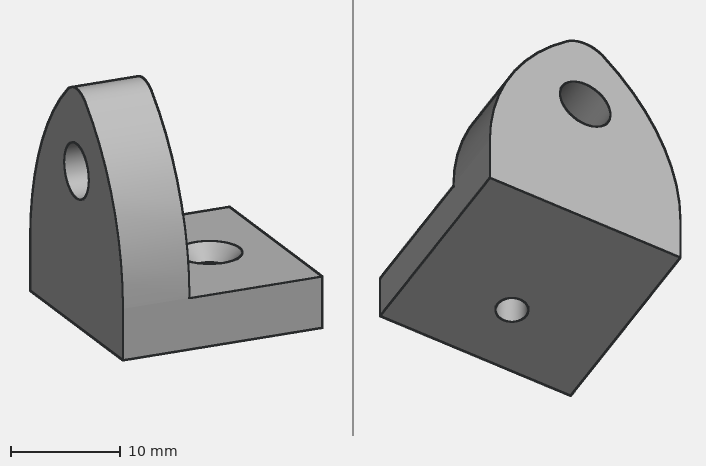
import cadquery as cq
import math

width = 20.0
depth = 20.0
height = 23.0
base_thickness = 5.0

lug_thickness = 6.67
tip_radius = 3.0
pivot_diameter = 5.3
pivot_height = 15.0

screw_diameter = 3.0
countersink_diameter = 5.98
countersink_angle = 90.0

half_width = width / 2
screw_y = (lug_thickness + depth) / 2

tip_rise = height - tip_radius - base_thickness
side_radius = (half_width**2 + tip_rise**2 - tip_radius**2) / (2 * (half_width - tip_radius))
arc_center_x = half_width - side_radius
sweep = math.atan2(tip_rise, -arc_center_x)


def side_point(angle):
    """Point on the right-hand side arc at an angle above horizontal."""
    x = arc_center_x + side_radius * math.cos(angle)
    z = base_thickness + side_radius * math.sin(angle)
    return x, z


def mirrored(point):
    return -point[0], point[1]


def make_base():
    return cq.Workplane("XY").box(width, depth, base_thickness, centered=(True, False, False))


def make_lug():
    side_middle = side_point(sweep / 2)
    side_end = side_point(sweep)
    return (
        cq.Workplane("XZ")
        .moveTo(-half_width, 0)
        .lineTo(half_width, 0)
        .lineTo(half_width, base_thickness)
        .threePointArc(side_middle, side_end)
        .threePointArc((0, height), mirrored(side_end))
        .threePointArc(mirrored(side_middle), (-half_width, base_thickness))
        .close()
        .extrude(-lug_thickness)
    )


def make_pivot_hole():
    return (
        cq.Workplane("XZ")
        .center(0, pivot_height)
        .circle(pivot_diameter / 2)
        .extrude(-lug_thickness)
    )


body = make_base().union(make_lug()).cut(make_pivot_hole())
result = (
    body.copyWorkplane(cq.Workplane("XY", origin=(0, screw_y, base_thickness)))
    .cskHole(screw_diameter, countersink_diameter, countersink_angle)
)